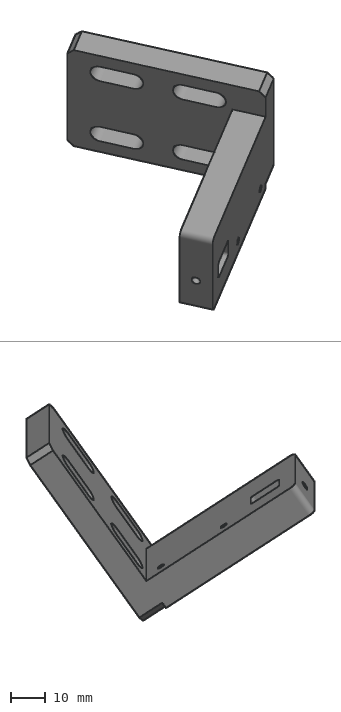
import cadquery as cq

plate_width = 60.0
plate_height = plate_width * 2 / 3
plate_thickness = 8.0
corner_size = 2.0

bracket_depth = plate_width
arm_width = 10.0
arm_height = plate_height * 3 / 4

slot_length = 16.0
slot_height = 6.0
slot_spacing = 25.0
slot_column_center = 27.5
slot_row_center = plate_height / 2

window_length = 10.0
window_height = 6.4
window_corner_radius = 1.0
window_front_gap = 5.6
window_center_y = window_front_gap + window_length / 2
window_center_z = 11.75

end_hole_diameter = 2.6
side_hole_diameter = 2.1
side_hole_z = 5.0
side_hole_back_distances = (13.0, 35.0)

plate_front_y = bracket_depth - plate_thickness
arm_left_x = plate_width - arm_width


def make_plate():
    """Plate with four chamfered corners."""
    return (
        cq.Workplane("XY")
        .box(plate_width, plate_thickness, plate_height, centered=False)
        .translate((0, plate_front_y, 0))
        .edges("|Y")
        .chamfer(corner_size)
    )


def make_arm():
    """Arm with rounded top and bottom edges at its free end."""
    return (
        cq.Workplane("XY")
        .box(arm_width, plate_front_y, arm_height, centered=False)
        .translate((arm_left_x, 0, 0))
        .edges("|X and <Y")
        .fillet(corner_size)
    )


def make_slots():
    """Cutters for the horizontal adjustment slots."""
    return (
        cq.Workplane("XZ", origin=(slot_column_center, bracket_depth, slot_row_center))
        .rarray(slot_spacing, slot_spacing, 2, 2)
        .slot2D(slot_length, slot_height)
        .extrude(plate_thickness)
    )


def make_window():
    """Cutter for the rounded rectangular window across the arm."""
    return (
        cq.Workplane("YZ", origin=(arm_left_x, window_center_y, window_center_z))
        .rect(window_length, window_height)
        .extrude(arm_width)
        .edges("|X")
        .fillet(window_corner_radius)
    )


def make_side_holes():
    """Cutters for the two holes across the arm."""
    centers = [(bracket_depth - distance, side_hole_z) for distance in side_hole_back_distances]
    return (
        cq.Workplane("YZ", origin=(arm_left_x, 0, 0))
        .pushPoints(centers)
        .circle(side_hole_diameter / 2)
        .extrude(arm_width)
    )


def make_end_hole():
    """Cutter for the hole from the arm's free end into the window."""
    return (
        cq.Workplane("XZ", origin=(arm_left_x + arm_width / 2, 0, window_center_z))
        .circle(end_hole_diameter / 2)
        .extrude(-window_center_y)
    )


result = make_plate().union(make_arm())
for make_cutter in (make_slots, make_window, make_side_holes, make_end_hole):
    result = result.cut(make_cutter())